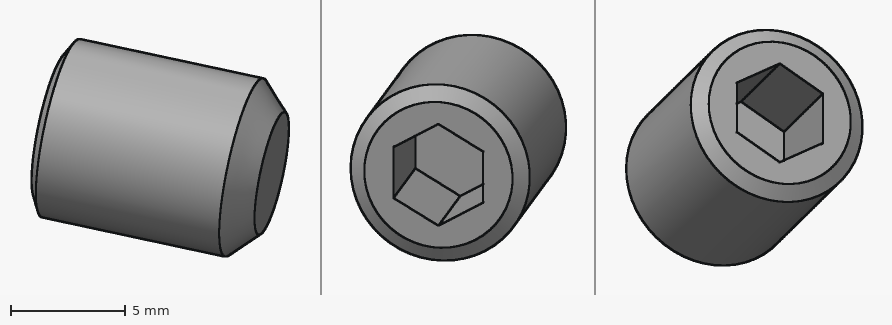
import cadquery as cq
import math

length = 10.0
diameter = 8.0
socket_across_flats = 4.0
socket_depth = 5.0
socket_chamfer_length = 0.4
socket_chamfer_angle = 30.0
point_chamfer_length = 1.25
point_radius = 2.75

radius = diameter / 2
socket_end_radius = radius - socket_chamfer_length / math.tan(math.radians(socket_chamfer_angle))
x_socket_end = -length / 2
x_point_end = length / 2


def make_body():
    """Revolve the half profile, with both end chamfers, about X."""
    return (
        cq.Workplane("XY")
        .moveTo(x_socket_end, 0)
        .lineTo(x_socket_end, socket_end_radius)
        .lineTo(x_socket_end + socket_chamfer_length, radius)
        .lineTo(x_point_end - point_chamfer_length, radius)
        .lineTo(x_point_end, point_radius)
        .lineTo(x_point_end, 0)
        .close()
        .revolve(360, (0, 0, 0), (1, 0, 0))
    )


def make_socket():
    """Hexagonal prism with flats facing Y and corners pointing along Z."""
    across_corners = socket_across_flats / math.cos(math.radians(30))
    return (
        cq.Workplane("YZ", origin=(x_socket_end, 0, 0))
        .transformed(rotate=(0, 0, 90))
        .polygon(6, across_corners)
        .extrude(socket_depth)
    )


result = make_body().cut(make_socket())